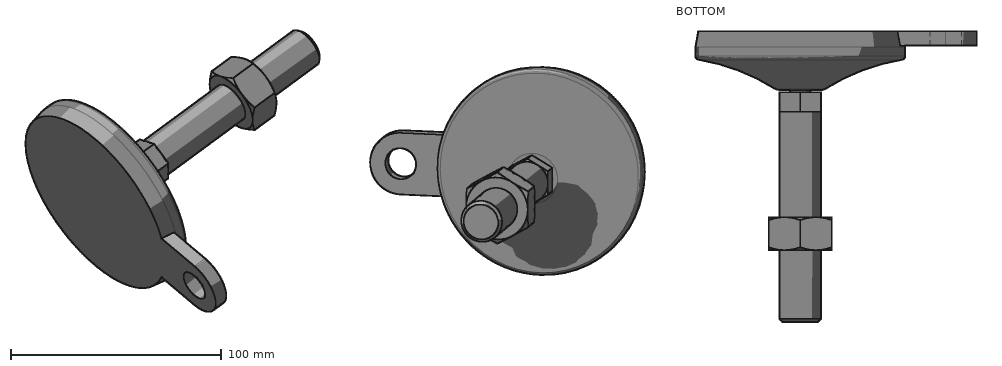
import cadquery as cq
import math

total_height = 138.5

base_radius = 50.0
sole_radius = 48.6
taper_height = 7.5
rim_fillet = 2.0
flank_foot_height = 13.5
flank_mid_radius = 25.6
flank_mid_height = 20.4
crown_radius = 11.1
crown_fillet = 4.2
base_height = 28.1

lug_radius = 15.0
lug_reach = 84.1
lug_thickness = 6.9
lug_hole_diameter = 15.0
lug_center = lug_reach - lug_radius

stud_diameter = 20.0
stud_chamfer = 1.5
neck_diameter = 10.0
hex_bottom = 29.1
hex_height = 9.4
nut_bottom = 88.6
nut_height = 15.7
nut_width = 30.0
nut_chamfer_angle = 30.0


def plane_at(height):
    """Plane normal to the stud axis; local x is +X and local y is -Z."""
    return cq.Workplane(cq.Plane(origin=(0, height, 0), xDir=(1, 0, 0), normal=(0, 1, 0)))


def hexagon(width, bottom, height):
    """Hexagonal prism with flats facing +X and -X."""
    corner_diameter = width / math.cos(math.pi / 6)
    prism = plane_at(bottom).polygon(6, corner_diameter).extrude(height)
    return prism.rotate((0, 0, 0), (0, 1, 0), 30)


def make_base():
    """Round plate with a tapered lower band and a concave flank rising to a flat crown."""
    plate = (
        cq.Workplane("XY")
        .lineTo(sole_radius, 0)
        .lineTo(base_radius, taper_height)
        .lineTo(base_radius, flank_foot_height)
        .threePointArc((flank_mid_radius, flank_mid_height), (crown_radius, base_height))
        .lineTo(0, base_height)
        .close()
        .revolve(360, (0, 0), (0, 1))
    )
    rim_edge = cq.selectors.NearestToPointSelector((0, flank_foot_height, 0))
    plate = plate.edges(rim_edge).fillet(rim_fillet)
    return plate.faces(">Y").edges().fillet(crown_fillet)


def make_lug():
    bar = plane_at(0).center(lug_center / 2, 0).rect(lug_center, 2 * lug_radius).extrude(lug_thickness)
    end = plane_at(0).center(lug_center, 0).circle(lug_radius).extrude(lug_thickness)
    hole = plane_at(0).center(lug_center, 0).circle(lug_hole_diameter / 2).extrude(lug_thickness)
    return bar.union(end).cut(hole)


def make_stud():
    neck = plane_at(base_height).circle(neck_diameter / 2).extrude(hex_bottom - base_height)
    wrench_hex = hexagon(stud_diameter, hex_bottom, hex_height)
    rod_bottom = hex_bottom + hex_height
    rod = plane_at(rod_bottom).circle(stud_diameter / 2).extrude(total_height - rod_bottom)
    rod = rod.faces(">Y").chamfer(stud_chamfer)
    return neck.union(wrench_hex).union(rod)


def make_nut():
    """Hexagon nut whose corners are turned down by a cone at both ends."""
    flat_radius = nut_width / 2
    corner_radius = flat_radius / math.cos(math.pi / 6)
    chamfer_height = (corner_radius - flat_radius) * math.tan(math.radians(nut_chamfer_angle))
    nut_top = nut_bottom + nut_height
    envelope = (
        cq.Workplane("XY")
        .moveTo(0, nut_bottom)
        .lineTo(flat_radius, nut_bottom)
        .lineTo(corner_radius, nut_bottom + chamfer_height)
        .lineTo(corner_radius, nut_top - chamfer_height)
        .lineTo(flat_radius, nut_top)
        .lineTo(0, nut_top)
        .close()
        .revolve(360, (0, 0), (0, 1))
    )
    return hexagon(nut_width, nut_bottom, nut_height).intersect(envelope)


result = make_base().union(make_lug()).union(make_stud()).union(make_nut())